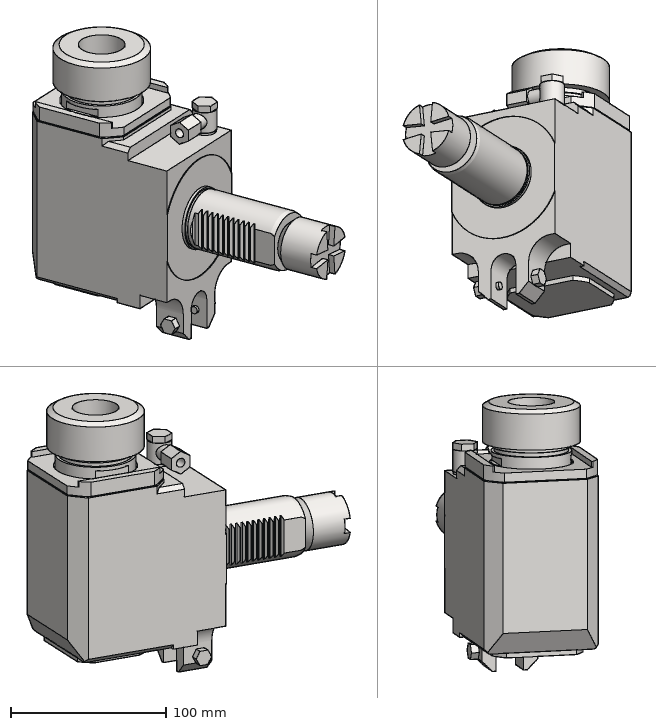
import cadquery as cq
import math


WIDTH = 76.0
FRONT_X = -110.25
BACK_X = -0.5
HEAD_LENGTH = 70.0
SPINDLE_X = FRONT_X + HEAD_LENGTH / 2
HEAD_BACK_X = FRONT_X + HEAD_LENGTH
BOTTOM_Z = -55.3
REAR_TOP_Z = 47.2
LEDGE_Z = 55.5
LEDGE_BACK_X = -30.4
HEAD_TOP_Z = 58.3
CORNER_CHAMFER = 10.0
HEAD_RIM_CHAMFER = 0.6
EDGE_CHAMFER = 3.0
BEVEL_LENGTH = 9.0
BEVEL_HEIGHT = 14.8
BOTTOM_CHAMFER_END_X = -38.6
SEAT_DIAMETER = 83.0

LID_CORNER_RADIUS = 44.4
LID_TOP_Z = 64.4
RIDGE_TOP_Z = 68.2
RIDGE_WIDTH = 5.7
RIDGE_LENGTH = 58.6
RECESS_DIAMETER = 54.0

COVER_LENGTH = 50.4
COVER_WIDTH = 60.5
COVER_CORNER_RADIUS = 34.25
COVER_THICKNESS = 3.2

FORK_FRONT_X = -21.2
FORK_TOP_Z = -45.8
FORK_BOTTOM_Z = -82.0
FORK_OUTER_Y = 18.6
FORK_SLOT_RADIUS = 9.1
FORK_ROOT_Z = -61.7
FORK_FILLET = FORK_TOP_Z - FORK_ROOT_Z
FORK_TIP_CHAMFER = 7.0
SCREW_X = -9.0
SCREW_Z = -70.4
SCREW_HEAD_FLATS = 9.8
SCREW_HEAD_HEIGHT = 5.2
SCREW_DIAMETER = 5.0
SCREW_TIP_LENGTH = 2.0

FITTING_X = -14.4
FITTING_Y = 28.1
FITTING_FOOT_DIAMETER = 15.2
FITTING_FOOT_HEIGHT = 1.6
FITTING_DIAMETER = 16.0
FITTING_HEIGHT = 14.5
FITTING_HEX_FLATS = 14.2
FITTING_HEX_HEIGHT = 4.4
NOZZLE_Z = 56.6
NOZZLE_NECK_DIAMETER = 10.9
NOZZLE_NECK_END_Y = 13.1
NOZZLE_HEX_FLATS = 13.5
NOZZLE_HEX_LENGTH = 14.8
NOZZLE_HOLE_DIAMETER = 6.0
NOZZLE_HOLE_DEPTH = 10.0
NOZZLE_BORE_DIAMETER = 4.0
NOZZLE_BORE_DEPTH = 12.0

SHANK_RADIUS = 20.0
SHANK_END_X = 68.3
SHANK_END_CHAMFER_LENGTH = 3.0
SHANK_END_CHAMFER_DEPTH = 0.8
COLLAR_RADIUS = 20.8
COLLAR_LENGTH = 2.1
UNDERCUT_DEPTH = 0.2
UNDERCUT_LENGTH = 1.6
FLAT_Y = -16.5
FLAT_START_X = 7.0
FLAT_LIP_CHAMFER = 1.0
GROOVE_COUNT = 11
GROOVE_PITCH = 4.0
GROOVE_FIRST_X = 11.3
GROOVE_DEPTH = 2.1
GROOVE_ROOT_WIDTH = 0.8
GROOVE_TOP_WIDTH = 3.3

COUPLING_RADIUS = 17.5
COUPLING_NECK_RADIUS = 12.9
COUPLING_CONE_END_X = 73.6
COUPLING_END_X = 100.7
COUPLING_SLOT_COUNT = 4
COUPLING_SLOT_DEPTH = 4.1
COUPLING_SLOT_INNER_WIDTH = 6.3
COUPLING_SLOT_OUTER_WIDTH = 9.8

SPINDLE_BOTTOM_Z = HEAD_TOP_Z
SPINDLE_FLANGE_RADIUS = 26.0
SPINDLE_FLANGE_TOP_Z = 71.9
SPINDLE_GROOVE_RADIUS = 24.0
SPINDLE_GROOVE_TOP_Z = 74.6
SPINDLE_NECK_RADIUS = 25.2
WRENCH_FLATS = 46.0
WRENCH_FLATS_TOP_Z = 69.4
NUT_RADIUS = 31.5
NUT_BOTTOM_Z = 77.7
NUT_TOP_Z = 103.66
NUT_CHAMFER_WIDTH = 4.1
NUT_CHAMFER_HEIGHT = NUT_CHAMFER_WIDTH * math.tan(math.radians(30))
NUT_BORE_DIAMETER = 30.0
NUT_BORE_DEPTH = 15.0


def block(x_range, y_range, z_range):
    """Axis-aligned box between the given limits."""
    (x0, x1), (y0, y1), (z0, z1) = x_range, y_range, z_range
    return cq.Workplane("XY").box(x1 - x0, y1 - y0, z1 - z0, centered=False).translate((x0, y0, z0))


def spindle_cylinder(radius, z0, z1):
    """Cylinder about the spindle axis."""
    return cq.Workplane("XY", origin=(SPINDLE_X, 0, z0)).circle(radius).extrude(z1 - z0)


def hexagon(workplane, flats, length, turn=0):
    """Hexagonal prism, given its size across flats; turn = 30 swaps flats and corners."""
    corners = flats / math.cos(math.radians(30))
    return workplane.transformed(rotate=(0, 0, turn)).polygon(6, corners).extrude(length)


def both_sides(half):
    """A feature together with its mirror copy across the middle plane."""
    return half.union(half.mirror("XZ"))


def bottom_edge_cut():
    """Wedge that chamfers the -Y bottom edge below the head."""
    return (
        cq.Workplane("YZ", origin=(FRONT_X, 0, 0))
        .moveTo(-WIDTH / 2, BOTTOM_Z)
        .lineTo(-WIDTH / 2 + EDGE_CHAMFER, BOTTOM_Z)
        .lineTo(-WIDTH / 2, BOTTOM_Z + EDGE_CHAMFER)
        .close()
        .extrude(BOTTOM_CHAMFER_END_X - FRONT_X)
    )


def make_block():
    """Stepped housing block with its chamfers, bevel and fork notch."""
    sides = (-WIDTH / 2, WIDTH / 2)
    head = block((FRONT_X, HEAD_BACK_X), sides, (REAR_TOP_Z, HEAD_TOP_Z))
    head = head.edges("|Z").chamfer(CORNER_CHAMFER)
    head = head.faces(">Z").edges().chamfer(HEAD_RIM_CHAMFER)
    ledge = block((SPINDLE_X, LEDGE_BACK_X), sides, (REAR_TOP_Z, LEDGE_Z))
    ledge = ledge.edges("|X and >Z").chamfer(EDGE_CHAMFER)
    base = block((FRONT_X, BACK_X), sides, (BOTTOM_Z, REAR_TOP_Z))
    base = base.edges("|Z and <X").chamfer(CORNER_CHAMFER)
    bevel = (
        cq.Workplane("XZ")
        .moveTo(FRONT_X, BOTTOM_Z)
        .lineTo(FRONT_X + BEVEL_LENGTH, BOTTOM_Z)
        .lineTo(FRONT_X, BOTTOM_Z + BEVEL_HEIGHT)
        .close()
        .extrude(WIDTH / 2, both=True)
    )
    notch = block((FORK_FRONT_X, BACK_X), sides, (BOTTOM_Z, FORK_TOP_Z))
    seat = cq.Workplane("YZ", origin=(BACK_X, 0, 0)).circle(SEAT_DIAMETER / 2).extrude(-BACK_X)
    seat = seat.intersect(block((BACK_X, 0), sides, (-SEAT_DIAMETER, REAR_TOP_Z)))
    body = base.union(head).union(ledge).union(seat)
    return body.cut(bevel).cut(notch).cut(both_sides(bottom_edge_cut()))


def make_lid():
    """Lid with turned corners and a raised ridge along each side."""
    sides = (-WIDTH / 2, WIDTH / 2)
    plate = block((FRONT_X, HEAD_BACK_X), sides, (HEAD_TOP_Z, LID_TOP_Z))
    ridge = block(
        (SPINDLE_X - RIDGE_LENGTH / 2, SPINDLE_X + RIDGE_LENGTH / 2),
        (-WIDTH / 2, -WIDTH / 2 + RIDGE_WIDTH),
        (HEAD_TOP_Z, RIDGE_TOP_Z),
    )
    turned = spindle_cylinder(LID_CORNER_RADIUS, HEAD_TOP_Z, RIDGE_TOP_Z)
    return plate.union(both_sides(ridge)).intersect(turned)


def make_cover():
    """Flat cover with turned corners under the spindle."""
    cover = block(
        (SPINDLE_X - COVER_LENGTH / 2, SPINDLE_X + COVER_LENGTH / 2),
        (-COVER_WIDTH / 2, COVER_WIDTH / 2),
        (BOTTOM_Z - COVER_THICKNESS, BOTTOM_Z),
    )
    return cover.intersect(spindle_cylinder(COVER_CORNER_RADIUS, BOTTOM_Z - COVER_THICKNESS, BOTTOM_Z))


def make_fork():
    """Two clamping jaws with filleted roots, and a screw through each jaw."""
    quarter_turn = FORK_FILLET * math.sqrt(0.5)
    fillet_y = FORK_OUTER_Y + FORK_FILLET
    profile = (
        cq.Workplane("YZ", origin=(FORK_FRONT_X, 0, 0))
        .moveTo(-fillet_y, FORK_TOP_Z)
        .threePointArc(
            (-fillet_y + quarter_turn, FORK_ROOT_Z + quarter_turn),
            (-FORK_OUTER_Y, FORK_ROOT_Z),
        )
        .lineTo(-FORK_OUTER_Y, FORK_BOTTOM_Z + FORK_TIP_CHAMFER)
        .lineTo(-FORK_OUTER_Y + FORK_TIP_CHAMFER, FORK_BOTTOM_Z)
        .lineTo(-FORK_SLOT_RADIUS, FORK_BOTTOM_Z)
        .lineTo(-FORK_SLOT_RADIUS, FORK_ROOT_Z)
        .threePointArc((0, FORK_ROOT_Z + FORK_SLOT_RADIUS), (FORK_SLOT_RADIUS, FORK_ROOT_Z))
        .lineTo(FORK_SLOT_RADIUS, FORK_BOTTOM_Z)
        .lineTo(FORK_OUTER_Y - FORK_TIP_CHAMFER, FORK_BOTTOM_Z)
        .lineTo(FORK_OUTER_Y, FORK_BOTTOM_Z + FORK_TIP_CHAMFER)
        .lineTo(FORK_OUTER_Y, FORK_ROOT_Z)
        .threePointArc(
            (fillet_y - quarter_turn, FORK_ROOT_Z + quarter_turn),
            (fillet_y, FORK_TOP_Z),
        )
        .close()
    )
    jaws = profile.extrude(BACK_X - FORK_FRONT_X)
    head_plane = cq.Workplane("XZ", origin=(SCREW_X, -FORK_OUTER_Y, SCREW_Z))
    tip_plane = cq.Workplane("XZ", origin=(SCREW_X, -FORK_SLOT_RADIUS, SCREW_Z))
    head = hexagon(head_plane, SCREW_HEAD_FLATS, SCREW_HEAD_HEIGHT)
    tip = tip_plane.circle(SCREW_DIAMETER / 2).extrude(-SCREW_TIP_LENGTH)
    return jaws.union(both_sides(head)).union(both_sides(tip))


def make_fitting():
    """Coolant fitting: upright round body with a hexagonal cap, and a nozzle towards -Y."""
    foot_plane = cq.Workplane("XY", origin=(FITTING_X, FITTING_Y, REAR_TOP_Z))
    body_plane = foot_plane.workplane(offset=FITTING_FOOT_HEIGHT)
    cap_plane = body_plane.workplane(offset=FITTING_HEIGHT)
    foot = foot_plane.circle(FITTING_FOOT_DIAMETER / 2).extrude(FITTING_FOOT_HEIGHT)
    body = body_plane.circle(FITTING_DIAMETER / 2).extrude(FITTING_HEIGHT)
    cap = hexagon(cap_plane, FITTING_HEX_FLATS, FITTING_HEX_HEIGHT, turn=30)

    neck_plane = cq.Workplane("XZ", origin=(FITTING_X, FITTING_Y, NOZZLE_Z))
    hex_plane = cq.Workplane("XZ", origin=(FITTING_X, NOZZLE_NECK_END_Y, NOZZLE_Z))
    mouth_plane = hex_plane.workplane(offset=NOZZLE_HEX_LENGTH)
    neck = neck_plane.circle(NOZZLE_NECK_DIAMETER / 2).extrude(FITTING_Y - NOZZLE_NECK_END_Y)
    nozzle = hexagon(hex_plane, NOZZLE_HEX_FLATS, NOZZLE_HEX_LENGTH, turn=30)
    hole = mouth_plane.circle(NOZZLE_HOLE_DIAMETER / 2).extrude(-NOZZLE_HOLE_DEPTH)
    bore = mouth_plane.circle(NOZZLE_BORE_DIAMETER / 2).extrude(-NOZZLE_BORE_DEPTH)
    return foot.union(body).union(cap).union(neck).union(nozzle).cut(hole).cut(bore)


def shank_flat_cut():
    """Cutter for the flat on the -Y side, with a sloped lip at its start."""
    return (
        cq.Workplane("XY")
        .moveTo(FLAT_START_X - FLAT_LIP_CHAMFER, -SHANK_RADIUS)
        .lineTo(FLAT_START_X, -SHANK_RADIUS + FLAT_LIP_CHAMFER)
        .lineTo(FLAT_START_X, FLAT_Y)
        .lineTo(SHANK_END_X, FLAT_Y)
        .lineTo(SHANK_END_X, -SHANK_RADIUS)
        .close()
        .extrude(SHANK_RADIUS, both=True)
    )


def shank_groove_cut(x):
    """Cutter for one trapezoidal groove across the shank flat, centred at x."""
    return (
        cq.Workplane("XY")
        .moveTo(x - GROOVE_TOP_WIDTH / 2, -SHANK_RADIUS)
        .lineTo(x - GROOVE_TOP_WIDTH / 2, FLAT_Y)
        .lineTo(x - GROOVE_ROOT_WIDTH / 2, FLAT_Y + GROOVE_DEPTH)
        .lineTo(x + GROOVE_ROOT_WIDTH / 2, FLAT_Y + GROOVE_DEPTH)
        .lineTo(x + GROOVE_TOP_WIDTH / 2, FLAT_Y)
        .lineTo(x + GROOVE_TOP_WIDTH / 2, -SHANK_RADIUS)
        .close()
        .extrude(SHANK_RADIUS, both=True)
    )


def make_shank():
    """Round shank with collar, undercut, end chamfer and toothed flat."""
    undercut_radius = SHANK_RADIUS - UNDERCUT_DEPTH
    undercut_end_x = COLLAR_LENGTH + UNDERCUT_LENGTH
    shank = (
        cq.Workplane("XY")
        .moveTo(BACK_X, 0)
        .lineTo(BACK_X, COLLAR_RADIUS)
        .lineTo(COLLAR_LENGTH, COLLAR_RADIUS)
        .lineTo(COLLAR_LENGTH, undercut_radius)
        .lineTo(undercut_end_x, undercut_radius)
        .lineTo(undercut_end_x, SHANK_RADIUS)
        .lineTo(SHANK_END_X - SHANK_END_CHAMFER_LENGTH, SHANK_RADIUS)
        .lineTo(SHANK_END_X, SHANK_RADIUS - SHANK_END_CHAMFER_DEPTH)
        .lineTo(SHANK_END_X, 0)
        .close()
        .revolve(360, (0, 0, 0), (1, 0, 0))
    )
    shank = shank.cut(shank_flat_cut())
    for index in range(GROOVE_COUNT):
        shank = shank.cut(shank_groove_cut(GROOVE_FIRST_X + index * GROOVE_PITCH))
    return shank


def make_coupling():
    """Drive coupling with a conical neck and tapered slots across its end face."""
    coupling = (
        cq.Workplane("XY")
        .moveTo(SHANK_END_X, 0)
        .lineTo(SHANK_END_X, COUPLING_NECK_RADIUS)
        .lineTo(COUPLING_CONE_END_X, COUPLING_RADIUS)
        .lineTo(COUPLING_END_X, COUPLING_RADIUS)
        .lineTo(COUPLING_END_X, 0)
        .close()
        .revolve(360, (0, 0, 0), (1, 0, 0))
    )
    slot = (
        cq.Workplane("YZ", origin=(COUPLING_END_X - COUPLING_SLOT_DEPTH, 0, 0))
        .moveTo(0, -COUPLING_SLOT_INNER_WIDTH / 2)
        .lineTo(COUPLING_RADIUS, -COUPLING_SLOT_OUTER_WIDTH / 2)
        .lineTo(COUPLING_RADIUS, COUPLING_SLOT_OUTER_WIDTH / 2)
        .lineTo(0, COUPLING_SLOT_INNER_WIDTH / 2)
        .close()
        .extrude(COUPLING_SLOT_DEPTH)
    )
    for index in range(COUPLING_SLOT_COUNT):
        angle = index * 360 / COUPLING_SLOT_COUNT
        coupling = coupling.cut(slot.rotate((0, 0, 0), (1, 0, 0), angle))
    return coupling


def make_housing():
    """Housing body: block, lid, cover, fork, fitting, shank and coupling in one solid."""
    housing = make_block()
    for feature in (make_lid(), make_cover(), make_fork(), make_fitting(), make_shank(), make_coupling()):
        housing = housing.union(feature)
    recess = spindle_cylinder(RECESS_DIAMETER / 2, SPINDLE_BOTTOM_Z, LID_TOP_Z)
    return housing.cut(recess).solids()


def make_spindle():
    """Spindle nose with wrench flats and its bored clamping nut."""
    spindle = (
        cq.Workplane("XZ", origin=(SPINDLE_X, 0, 0))
        .moveTo(0, SPINDLE_BOTTOM_Z)
        .lineTo(SPINDLE_FLANGE_RADIUS, SPINDLE_BOTTOM_Z)
        .lineTo(SPINDLE_FLANGE_RADIUS, SPINDLE_FLANGE_TOP_Z)
        .lineTo(SPINDLE_GROOVE_RADIUS, SPINDLE_FLANGE_TOP_Z)
        .lineTo(SPINDLE_GROOVE_RADIUS, SPINDLE_GROOVE_TOP_Z)
        .lineTo(SPINDLE_NECK_RADIUS, SPINDLE_GROOVE_TOP_Z)
        .lineTo(SPINDLE_NECK_RADIUS, NUT_BOTTOM_Z)
        .lineTo(NUT_RADIUS, NUT_BOTTOM_Z)
        .lineTo(NUT_RADIUS, NUT_TOP_Z - NUT_CHAMFER_HEIGHT)
        .lineTo(NUT_RADIUS - NUT_CHAMFER_WIDTH, NUT_TOP_Z)
        .lineTo(0, NUT_TOP_Z)
        .close()
        .revolve(360, (0, 0, 0), (0, 1, 0))
    )
    bore = spindle_cylinder(NUT_BORE_DIAMETER / 2, NUT_TOP_Z - NUT_BORE_DEPTH, NUT_TOP_Z)
    flat = block(
        (SPINDLE_X - SPINDLE_FLANGE_RADIUS, SPINDLE_X + SPINDLE_FLANGE_RADIUS),
        (-SPINDLE_FLANGE_RADIUS, -WRENCH_FLATS / 2),
        (LID_TOP_Z, WRENCH_FLATS_TOP_Z),
    )
    return spindle.cut(bore).cut(both_sides(flat)).solids()


housing = make_housing()
spindle = make_spindle()
result = cq.Compound.makeCompound([housing.val(), spindle.val()])